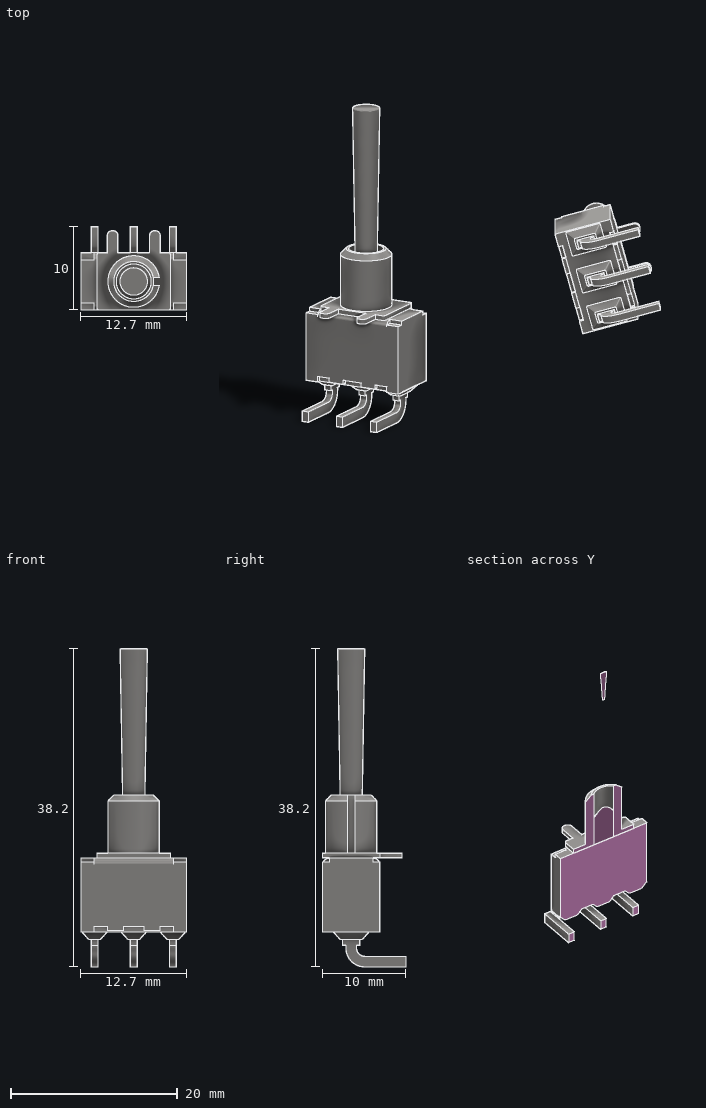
import cadquery as cq


CASE_X = 12.7
CASE_Y = 6.9
CASE_HEIGHT = 8.9
CASE_BOTTOM = -CASE_HEIGHT
SHOULDER_HEIGHT = 0.7
SHOULDER_Y = 0.85
SHOULDER_X = 9.5
CORNER_STEP_HEIGHT = 0.48

RECESS_DEPTH = 0.5
LIP_GAP = 0.2
NOTCH_HEIGHT = 0.7
MIDDLE_NOTCH_X = 2.44
END_NOTCH_X = 1.6

PIN_PITCH = 4.7
PIN_X = 0.85
PIN_THICKNESS = 1.3
PIN_END_Y = 6.58
PIN_BOTTOM = -13.1
BEND_INNER_RADIUS = 1.0
BEND_OUTER_RADIUS = BEND_INNER_RADIUS + PIN_THICKNESS
SEAL_HEIGHT = 0.9
SEAL_TIP_X = 1.4
SEAL_TIP_Y = 2.65
SEAL_FLARE = 0.82
SEAL_EDGE_RADIUS = 0.25
COLLAR_Y = 2.1
COLLAR_HEIGHT = 0.7

PLATE_X = 8.86
PLATE_THICKNESS = 0.58
PLATE_CORNER_RADIUS = 0.3
TAB_PITCH = 5.08
TAB_WIDTH = 1.3
TAB_END_Y = 6.1
TAB_END_RADIUS = 0.6

BUSHING_DIAMETER = 6.2
BUSHING_TOP = 7.57
BUSHING_CHAMFER = 0.7
BORE_DIAMETER = 4.2
KEYWAY_WIDTH = 0.93
KEYWAY_FLOOR_X = 2.38

OVERALL_HEIGHT = 38.22
LEVER_TOP = OVERALL_HEIGHT + PIN_BOTTOM
LEVER_TOP_DIAMETER = 3.3
LEVER_NECK_DIAMETER = 2.64
LEVER_EDGE_RADIUS = 0.1
SEAT_TOP = 4.0
NECK_BOTTOM = 5.5


def box(x_size, y_size, z_bottom, z_top, x=0, y=0):
    solid = cq.Workplane("XY").box(x_size, y_size, z_top - z_bottom, centered=(True, True, False))
    return solid.translate((x, y, z_bottom))


def make_case_middle():
    """Middle length of the case, with arcs that run level into the top face."""
    half = CASE_Y / 2
    shoulder_radius = (SHOULDER_Y**2 + SHOULDER_HEIGHT**2) / (2 * SHOULDER_HEIGHT)
    return (
        cq.Workplane("YZ")
        .moveTo(-half, CASE_BOTTOM)
        .lineTo(-half, -SHOULDER_HEIGHT)
        .radiusArc((SHOULDER_Y - half, 0), shoulder_radius)
        .lineTo(half - SHOULDER_Y, 0)
        .radiusArc((half, -SHOULDER_HEIGHT), shoulder_radius)
        .lineTo(half, CASE_BOTTOM)
        .close()
        .extrude(SHOULDER_X / 2, both=True)
    )


def make_case_shell():
    """Block with rounded top shoulders, square corner steps and notched lower edges."""
    shell = make_case_middle()
    end_x = (CASE_X - SHOULDER_X) / 2
    for side in (-1, 1):
        x = side * (SHOULDER_X + end_x) / 2
        shell = shell.union(box(end_x, CASE_Y, CASE_BOTTOM, -CORNER_STEP_HEIGHT, x))
        shell = shell.union(box(end_x, CASE_Y - 2 * SHOULDER_Y, CASE_BOTTOM, 0, x))
    end_notch_x = (SHOULDER_X - END_NOTCH_X) / 2
    for side in (-1, 1):
        y = side * (CASE_Y - RECESS_DEPTH) / 2
        shell = shell.cut(box(SHOULDER_X, RECESS_DEPTH, CASE_BOTTOM, CASE_BOTTOM + LIP_GAP, y=y))
        for x, width in ((-end_notch_x, END_NOTCH_X), (0, MIDDLE_NOTCH_X), (end_notch_x, END_NOTCH_X)):
            shell = shell.cut(box(width, RECESS_DEPTH, CASE_BOTTOM, CASE_BOTTOM + NOTCH_HEIGHT, x, y))
    return shell


def make_terminal(x):
    """Right-angle pin with a flat collar below a tapered seal that meets the case."""
    seal_bottom = CASE_BOTTOM - SEAL_HEIGHT
    collar_bottom = seal_bottom - COLLAR_HEIGHT
    seal = (
        cq.Workplane("XY")
        .workplane(offset=seal_bottom)
        .rect(SEAL_TIP_X, SEAL_TIP_Y)
        .workplane(offset=SEAL_HEIGHT)
        .rect(SEAL_TIP_X + 2 * SEAL_FLARE, SEAL_TIP_Y + 2 * SEAL_FLARE)
        .loft(ruled=True)
        .edges("not(<Z or >Z)")
        .fillet(SEAL_EDGE_RADIUS)
    )
    collar = box(PIN_X, COLLAR_Y, collar_bottom, seal_bottom)
    half = PIN_THICKNESS / 2
    leg_top = PIN_BOTTOM + PIN_THICKNESS
    bend_y = half + BEND_INNER_RADIUS
    bend_z = PIN_BOTTOM + BEND_OUTER_RADIUS
    pin = (
        cq.Workplane("YZ")
        .moveTo(-half, collar_bottom)
        .lineTo(-half, bend_z)
        .radiusArc((bend_y, PIN_BOTTOM), -BEND_OUTER_RADIUS)
        .lineTo(PIN_END_Y, PIN_BOTTOM)
        .lineTo(PIN_END_Y, leg_top)
        .lineTo(bend_y, leg_top)
        .radiusArc((half, bend_z), BEND_INNER_RADIUS)
        .lineTo(half, collar_bottom)
        .close()
        .extrude(PIN_X / 2, both=True)
    )
    return seal.union(collar).union(pin).translate((x, 0, 0))


def make_case():
    case = make_case_shell()
    for x in (-PIN_PITCH, 0, PIN_PITCH):
        case = case.union(make_terminal(x))
    return case


def make_bushing():
    bushing = cq.Workplane("XY").circle(BUSHING_DIAMETER / 2).extrude(BUSHING_TOP)
    bushing = bushing.faces(">Z").chamfer(BUSHING_CHAMFER)
    keyway = box(BUSHING_DIAMETER, KEYWAY_WIDTH, PLATE_THICKNESS, BUSHING_TOP,
                 KEYWAY_FLOOR_X + BUSHING_DIAMETER / 2)
    return bushing.cut(keyway)


def make_bracket():
    """Plate, rear solder tabs and bushing in one piece, bored through for the lever."""
    bracket = box(PLATE_X, CASE_Y, 0, PLATE_THICKNESS).edges("|Z").fillet(PLATE_CORNER_RADIUS)
    for side in (-1, 1):
        tab = box(TAB_WIDTH, TAB_END_Y, 0, PLATE_THICKNESS, side * TAB_PITCH / 2, TAB_END_Y / 2)
        bracket = bracket.union(tab.edges("|Z and >Y").fillet(TAB_END_RADIUS))
    bore = cq.Workplane("XY").circle(BORE_DIAMETER / 2).extrude(BUSHING_TOP)
    return bracket.union(make_bushing()).cut(bore)


def make_lever():
    """Flared handle on a conical seat that fills the lower part of the bore."""
    lever = (
        cq.Workplane("XZ")
        .lineTo(BORE_DIAMETER / 2, 0)
        .lineTo(BORE_DIAMETER / 2, SEAT_TOP)
        .lineTo(LEVER_NECK_DIAMETER / 2, NECK_BOTTOM)
        .lineTo(LEVER_TOP_DIAMETER / 2, LEVER_TOP)
        .lineTo(0, LEVER_TOP)
        .close()
        .revolve(360, (0, 0, 0), (0, 1, 0))
    )
    return lever.faces(">Z").edges().fillet(LEVER_EDGE_RADIUS)


case = make_case()
bracket = make_bracket()
lever = make_lever()

result = cq.Compound.makeCompound([case.val(), bracket.val(), lever.val()])